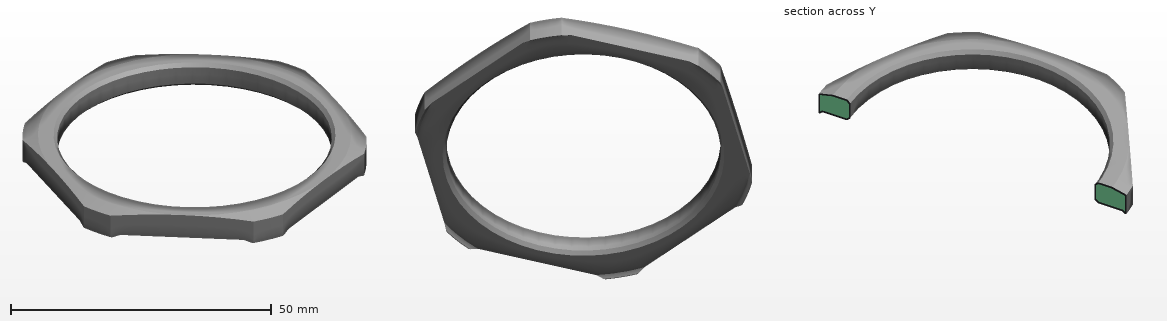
import cadquery as cq
import math

SIDES = 6
ACROSS_FLATS = 60.0
CORNER_DIAMETER = 66.0
HEIGHT = 5.6

BEVEL_TOP_DIAMETER = ACROSS_FLATS
BEVEL_ANGLE = 15.0

BORE_DIAMETER = 52.6
BORE_MOUTH_DIAMETER = 54.0

RECESS_DEPTH = 0.6
RECESS_MOUTH_DIAMETER = 65.7

corner_radius = CORNER_DIAMETER / 2
bevel_top_radius = BEVEL_TOP_DIAMETER / 2
bevel_drop = (corner_radius - bevel_top_radius) * math.tan(math.radians(BEVEL_ANGLE))
bore_radius = BORE_DIAMETER / 2
recess_mouth_radius = RECESS_MOUTH_DIAMETER / 2
recess_floor_radius = recess_mouth_radius - RECESS_DEPTH
mouth_radius = BORE_MOUTH_DIAMETER / 2
chamfer = mouth_radius - bore_radius


def make_hexagon():
    """Hexagonal prism with two flats facing -Y and +Y."""
    across_corners = ACROSS_FLATS / math.cos(math.pi / SIDES)
    return cq.Workplane("XY").polygon(SIDES, across_corners).extrude(HEIGHT)


def make_turned_ring():
    """Ring of revolution: rounded corners, top bevel, chamfered bore and underside recess."""
    profile = [
        (mouth_radius, RECESS_DEPTH),
        (recess_floor_radius, RECESS_DEPTH),
        (recess_mouth_radius, 0),
        (corner_radius, 0),
        (corner_radius, HEIGHT - bevel_drop),
        (bevel_top_radius, HEIGHT),
        (mouth_radius, HEIGHT),
        (bore_radius, HEIGHT - chamfer),
        (bore_radius, RECESS_DEPTH + chamfer),
    ]
    return cq.Workplane("XZ").polyline(profile).close().revolve(360, (0, 0), (0, 1))


result = make_hexagon().intersect(make_turned_ring())